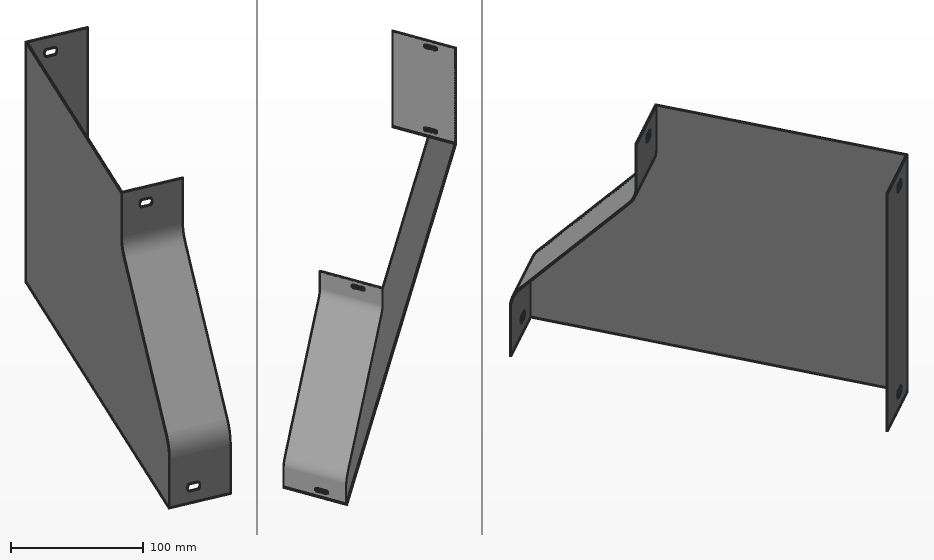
import cadquery as cq

length = 300.0
depth = 50.0
height = 230.0
sheet = 0.8

top_length = 200.0
slope_bottom = 58.2
slope_top = 178.2
upper_bend_radius = 23.0
lower_bend_radius = 30.0

slot_length = 10.2
slot_width = 7.0
slot_from_back = 30.0
slot_from_end = 15.0


def solid_outline():
    """Full-depth block whose right side follows the sloping edge."""
    outline = [
        (0, 0),
        (length, 0),
        (length, slope_bottom),
        (top_length, slope_top),
        (top_length, height),
        (0, height),
    ]
    block = cq.Workplane("XZ").polyline(outline).close().extrude(-depth)
    upper_corner = cq.selectors.NearestToPointSelector((top_length, depth / 2, slope_top))
    lower_corner = cq.selectors.NearestToPointSelector((length, depth / 2, slope_bottom))
    block = block.edges(upper_corner).fillet(upper_bend_radius)
    return block.edges(lower_corner).fillet(lower_bend_radius)


def slot_cutter(z):
    """Round hole with flattened top and bottom, through both side flanges at height z."""
    center_plane = cq.Workplane("YZ").center(depth - slot_from_back, z)
    round_bar = center_plane.circle(slot_length / 2).extrude(length)
    flat_bar = center_plane.rect(slot_length, slot_width).extrude(length)
    return round_bar.intersect(flat_bar)


result = solid_outline().faces(">Y or >Z or <Z").shell(-sheet)

for slot_z in (slot_from_end, height - slot_from_end):
    result = result.cut(slot_cutter(slot_z))